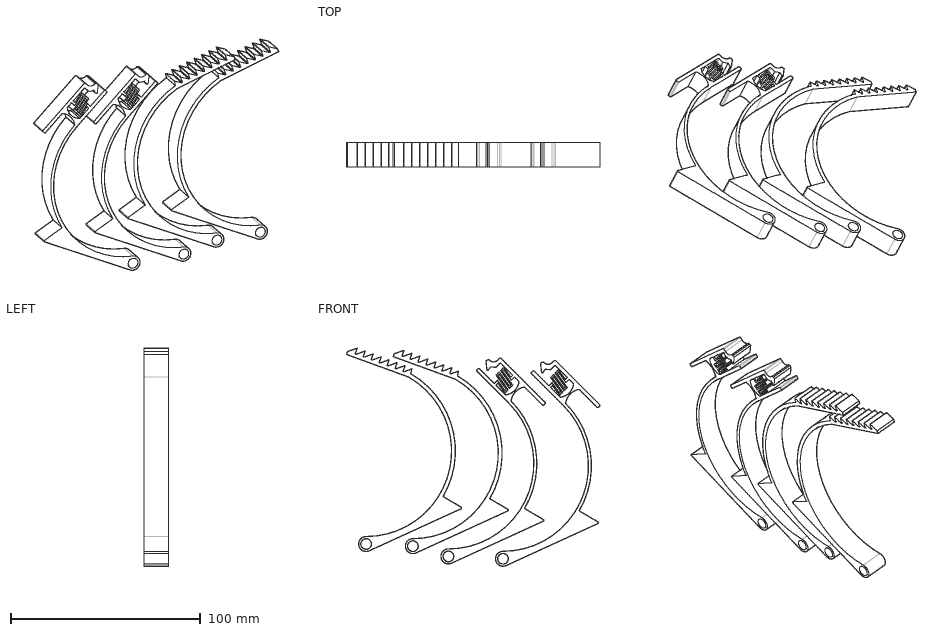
import cadquery as cq
import math

width = 13.0
eye_radius = 4.0
eye_hole_radius = 2.75
inner_radius = 45.0
bow_centre_z = eye_radius + inner_radius
spike_angle = -30.5
spike_radius = 59.2
spike_tip_fillet = 0.5

toothed_band = 2.15
toothed_end_angle = 60.0
rack_angle = -20.0
rack_length = 35.0
rack_floor = 1.95
tooth_count = 8
tooth_pitch = 4.48
tooth_height = 3.1
tooth_slope = 40.0
tooth_root_flat = 0.5
last_full_tooth = -3.85

latch_band = 1.7
latch_end_angle = 45.0
rail_angle = latch_end_angle - 90
rail = 2.0
latch_height = 13.9
lower_rail_start = -24.3
upper_rail_start = -20.2
upper_rail_end = 13.8
rail_end_fillet = 0.5

hook_thickness = 2.1
hook_notch_radius = 3.0
hook_peak_fillet = 0.5
hook_inner_end = 8.6
nose_points = [(-23.6, 9.0), (-24.1, 8.3), (-24.3, 7.2), (-20.4, 4.1), (-19.8, 4.5), (-20.3, 6.7)]

web_middle = -2.2
web_end_half = 2.1
web_waist_left = -2.55
web_waist_right = -1.7

spring_middle = -10.2
spring_half_length = 5.0
rung_count = 5
rung_pitch = 1.7
rung_thickness = 0.75
rung_slope = -0.16
turn_length = 1.0
post_inner = 1.25
post_outer = 2.6

toothed_eyes = [(0.0, 0.0), (24.65, -1.15)]
latch_eyes = [(43.4, -6.55), (72.2, -7.8)]


def plane_at(x, z, angle):
    """Sketch plane across the arm: first axis at `angle` above X, second axis 90 degrees further."""
    a = math.radians(angle)
    return cq.Plane(origin=(x, 0, z), xDir=(math.cos(a), 0, math.sin(a)), normal=(0, -1, 0))


def bow_point(radius, angle):
    """Point at a radius and angle about the band centre."""
    a = math.radians(angle)
    return radius * math.cos(a), bow_centre_z + radius * math.sin(a)


def extrude(sketch):
    return sketch.extrude(-width)


def bow(band, end_angle):
    """Eye, curved band and spike, with the eye centred on the origin."""
    outer_radius = inner_radius + band
    tip_x, tip_z = bow_point(spike_radius, spike_angle)
    tip_distance = math.hypot(tip_x, tip_z)
    tangent_angle = math.atan2(tip_z, tip_x) - math.acos(eye_radius / tip_distance)
    tangent = (eye_radius * math.cos(tangent_angle), eye_radius * math.sin(tangent_angle))
    body = extrude(
        cq.Workplane(plane_at(0, 0, 0))
        .moveTo(0, eye_radius)
        .threePointArc(bow_point(inner_radius, (end_angle - 90) / 2), bow_point(inner_radius, end_angle))
        .lineTo(*bow_point(outer_radius, end_angle))
        .threePointArc(
            bow_point(outer_radius, (end_angle + spike_angle) / 2),
            bow_point(outer_radius, spike_angle),
        )
        .lineTo(tip_x, tip_z)
        .lineTo(*tangent)
        .threePointArc((-eye_radius, 0), (0, eye_radius))
        .close()
    )
    tip_edge = cq.selectors.NearestToPointSelector((tip_x, width / 2, tip_z))
    body = body.edges("|Y").edges(tip_edge).fillet(spike_tip_fillet)
    hole = extrude(cq.Workplane(plane_at(0, 0, 0)).circle(eye_hole_radius))
    return body.cut(hole)


def rack():
    """Straight strip with saw teeth; the strip's underside is the first axis, ending at the band."""
    x, z = bow_point(inner_radius, toothed_end_angle)
    ramp = tooth_height / math.tan(math.radians(tooth_slope))
    first_face = last_full_tooth - (tooth_count - 2) * tooth_pitch
    start_height = rack_floor + tooth_height - (
        first_face - tooth_pitch + tooth_root_flat + ramp + rack_length
    ) * math.tan(math.radians(tooth_slope))
    points = [(0, 0), (-rack_length, 0), (-rack_length, start_height)]
    for i in range(tooth_count):
        face = first_face + i * tooth_pitch
        root = face - tooth_pitch + tooth_root_flat
        if i > 0:
            points.append((root, rack_floor))
        if face <= 0:
            points.append((root + ramp, rack_floor + tooth_height))
            points.append((face, rack_floor + tooth_height))
            points.append((face, rack_floor))
        else:
            points.append((0, rack_floor - root * math.tan(math.radians(tooth_slope))))
    band_end = math.radians(toothed_end_angle - rack_angle)
    points.append((toothed_band * math.cos(band_end), toothed_band * math.sin(band_end)))
    return extrude(cq.Workplane(plane_at(x, z, rack_angle)).polyline(points).close())


def latch_sketch():
    """Sketch on the rails: origin at the band's end, first axis along the lower rail's underside."""
    x, z = bow_point(inner_radius, latch_end_angle)
    return cq.Workplane(plane_at(x, z, rail_angle))


def block(left, right, bottom, top):
    points = [(left, bottom), (right, bottom), (right, top), (left, top)]
    return extrude(latch_sketch().polyline(points).close())


def fillet_corners(body, radius, corners):
    """Round the outline corners given in latch sketch coordinates."""
    plane = latch_sketch().plane
    for u, v in corners:
        corner = plane.toWorldCoords((u, v, -width / 2))
        body = body.edges(cq.selectors.NearestToPointSelector(corner)).fillet(radius)
    return body


def web():
    """Web joining the rails, narrowed by an arc on each side."""
    bottom = rail
    top = latch_height - rail
    middle = latch_height / 2
    return extrude(
        latch_sketch()
        .moveTo(web_middle - web_end_half, bottom)
        .threePointArc((web_waist_left, middle), (web_middle - web_end_half, top))
        .lineTo(web_middle + web_end_half, top)
        .threePointArc((web_waist_right, middle), (web_middle + web_end_half, bottom))
        .close()
    )


def upper_rail_and_hook():
    """Upper rail with a hook at its start: a round notch outside and a slanted nose."""
    left = upper_rail_start
    right = left + hook_thickness
    underside = latch_height - rail
    notch_bottom = underside - hook_notch_radius
    notch_x = left - hook_notch_radius
    diagonal = hook_notch_radius * math.sqrt(0.5)
    sketch = (
        latch_sketch()
        .moveTo(upper_rail_end, underside)
        .lineTo(upper_rail_end, latch_height)
        .lineTo(left, latch_height)
        .lineTo(left, underside)
        .threePointArc((notch_x + diagonal, underside - diagonal), (notch_x, notch_bottom))
    )
    for point in nose_points:
        sketch = sketch.lineTo(*point)
    body = extrude(sketch.lineTo(right, hook_inner_end).lineTo(right, underside).close())
    body = fillet_corners(body, rail_end_fillet, [(upper_rail_end, underside), (upper_rail_end, latch_height)])
    return fillet_corners(body, hook_peak_fillet, [(left, latch_height), (right, underside)])


def lower_rail():
    body = block(lower_rail_start, 0, 0, rail)
    return fillet_corners(body, rail_end_fillet, [(lower_rail_start, 0), (lower_rail_start, rail)])


def spring():
    """Zigzag of sloping rungs, with a post to each rail; unchanged by a half turn about its middle."""
    middle_z = latch_height / 2
    half = rung_thickness / 2

    def rung_line(i, offset):
        return middle_z + ((rung_count - 1) / 2 - i) * rung_pitch + rung_slope * offset

    def slanted(near, far, upper, lower):
        """Piece between two offsets, from the top of rung `upper` to the bottom of rung `lower`."""
        points = [
            (spring_middle + near, rung_line(lower, near) - half),
            (spring_middle + far, rung_line(lower, far) - half),
            (spring_middle + far, rung_line(upper, far) + half),
            (spring_middle + near, rung_line(upper, near) + half),
        ]
        return extrude(latch_sketch().polyline(points).close())

    last = rung_count - 1
    body = block(
        spring_middle + post_inner, spring_middle + post_outer,
        rung_line(0, post_inner), latch_height - rail,
    )
    body = body.union(block(
        spring_middle - post_outer, spring_middle - post_inner,
        rail, rung_line(last, -post_inner),
    ))
    for i in range(rung_count):
        near = -post_outer if i == last else -spring_half_length
        far = post_outer if i == 0 else spring_half_length
        body = body.union(slanted(near, far, i, i))
    for i in range(last):
        side = -spring_half_length if i % 2 == 0 else spring_half_length - turn_length
        body = body.union(slanted(side, side + turn_length, i, i + 1))
    return body


def toothed_arm():
    return bow(toothed_band, toothed_end_angle).union(rack())


def latch_arm():
    body = bow(latch_band, latch_end_angle)
    body = body.union(lower_rail()).union(upper_rail_and_hook())
    return body.union(web()).union(spring())


toothed_arms = [toothed_arm().translate((x, 0, z)) for x, z in toothed_eyes]
latch_arms = [latch_arm().translate((x, 0, z)) for x, z in latch_eyes]

result = cq.Compound.makeCompound([arm.val() for arm in toothed_arms + latch_arms])